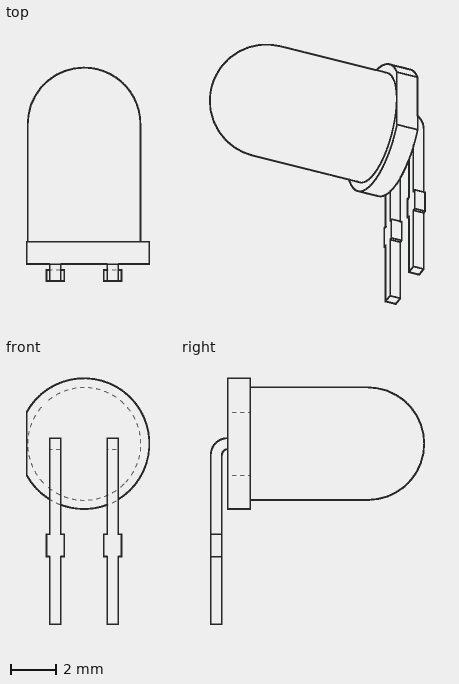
import cadquery as cq

body_diameter = 5.0
body_radius = body_diameter / 2
barrel_length = 5.2
flange_diameter = 5.8
flange_radius = flange_diameter / 2
flange_thickness = 1.0
flat_offset = 2.54

total_height = 10.9
lead_spacing = 2.54
lead_width = 0.5
bend_inner_radius = 0.25
bend_outer_radius = bend_inner_radius + lead_width
lead_top = lead_width / 2
bend_center_z = lead_top - bend_outer_radius
lead_bottom = flange_radius - total_height

stop_width = 0.8
stop_height = 1.0
stop_top = -4.0


def make_body():
    """Barrel with a hemispherical dome, revolved about the Y axis."""
    dome_start = flange_thickness + barrel_length
    dome_tip = dome_start + body_radius
    half_profile = (
        cq.Workplane("XY")
        .lineTo(body_radius, 0)
        .lineTo(body_radius, dome_start)
        .radiusArc((0, dome_tip), -body_radius)
        .close()
    )
    return half_profile.revolve(360, (0, 0, 0), (0, 1, 0))


def make_flange():
    """Round flange cut off flat on the -X side."""
    disc = cq.Workplane("XZ").circle(flange_radius).extrude(-flange_thickness)
    kept_width = flat_offset + flange_radius
    kept = cq.Workplane("XY").box(
        kept_width, flange_thickness, flange_diameter, centered=(False, False, True)
    )
    return disc.intersect(kept.translate((-flat_offset, 0, 0)))


def make_lead(x):
    """Lead that leaves the flange, bends down and carries a stop."""
    lead = (
        cq.Workplane("YZ", origin=(x, 0, 0))
        .moveTo(0, lead_top)
        .radiusArc((-bend_outer_radius, bend_center_z), -bend_outer_radius)
        .lineTo(-bend_outer_radius, lead_bottom)
        .lineTo(-bend_inner_radius, lead_bottom)
        .lineTo(-bend_inner_radius, bend_center_z)
        .radiusArc((0, lead_top - lead_width), bend_inner_radius)
        .close()
        .extrude(lead_width / 2, both=True)
    )
    stop_center_y = -(bend_inner_radius + bend_outer_radius) / 2
    stop_center_z = stop_top - stop_height / 2
    stop = cq.Workplane("XY").box(stop_width, lead_width, stop_height)
    return lead.union(stop.translate((x, stop_center_y, stop_center_z)))


result = make_body().union(make_flange())
for side in (-1, 1):
    result = result.union(make_lead(side * lead_spacing / 2))